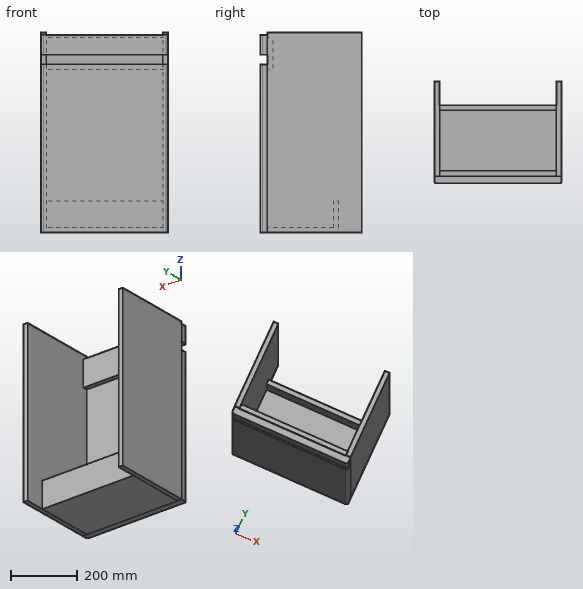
import cadquery as cq

WIDTH = 384.0
DEPTH = 308.0
HEIGHT = 605.0

BOARD = 16.0
BACK_SETBACK = 71.5
RAIL_HEIGHT = 97.0
RAIL_DROP = 15.0

FRONT_THICKNESS = 22.5
FRONT_CORNER_RADIUS = 7.0
FASCIA_DROP = 8.0
FASCIA_HEIGHT = 60.5
FINGER_GAP = 28.5

inner_width = WIDTH - 2 * BOARD
fascia_bottom = HEIGHT - FASCIA_DROP - FASCIA_HEIGHT
door_height = fascia_bottom - FINGER_GAP
back_face = DEPTH - BACK_SETBACK
rail_bottom = HEIGHT - RAIL_DROP - RAIL_HEIGHT


def board(x_size, y_start, y_end, z_start, height, x_center=0.0):
    """Rectangular board centred on x_center, running from y_start to y_end."""
    return (
        cq.Workplane("XY")
        .box(x_size, y_end - y_start, height, centered=(True, False, False))
        .translate((x_center, y_start, z_start))
    )


def side_panel(x_center):
    """Full-height side behind the front panels."""
    return board(BOARD, FRONT_THICKNESS, DEPTH, 0, HEIGHT, x_center)


def front_panel(z_start, height):
    """Full-width front with rounded outer vertical edges."""
    panel = board(WIDTH, 0, FRONT_THICKNESS, z_start, height)
    return panel.edges("|Z and <Y").fillet(FRONT_CORNER_RADIUS)


def front_rail():
    """Cross rail between the sides, closing the finger gap from behind."""
    return board(inner_width, FRONT_THICKNESS, FRONT_THICKNESS + BOARD, rail_bottom, RAIL_HEIGHT)


def floor_with_back():
    """Floor between the sides with a low upstand along its rear edge."""
    floor = board(inner_width, FRONT_THICKNESS, back_face, 0, BOARD)
    upstand = board(inner_width, back_face - BOARD, back_face, 0, RAIL_HEIGHT)
    return floor.union(upstand)


side_center = (WIDTH - BOARD) / 2
sides = [side_panel(direction * side_center) for direction in (-1, 1)]
door = front_panel(0, door_height)
fascia = front_panel(fascia_bottom, FASCIA_HEIGHT)
rail = front_rail()
floor_unit = floor_with_back()

result = cq.Compound.makeCompound(
    [*[side.val() for side in sides], door.val(), fascia.val(), rail.val(), floor_unit.val()]
)